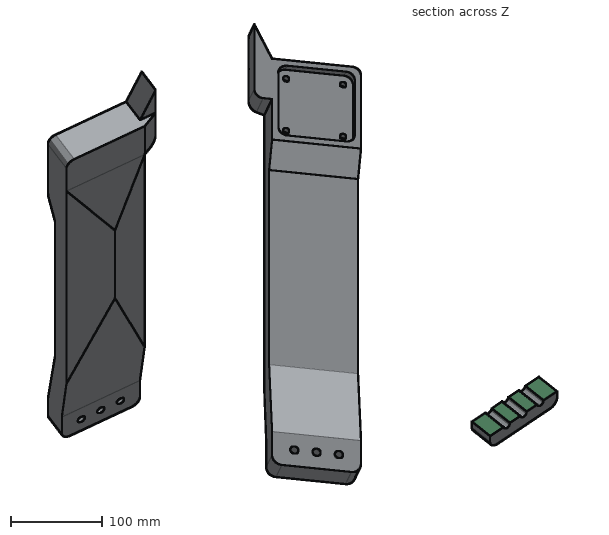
import cadquery as cq
import math

SLAB_WIDTH = 100.0
SLAB_TOP = 500.0
SLAB_BACK = 40.0
FOOT_THICKNESS = 30.0
FOOT_HEIGHT = 40.0
WAIST_FRONT = 15.0
WAIST_BOTTOM = 130.0
WAIST_TOP = 370.0
HEAD_BOTTOM = 400.0
FOOT_RADIUS = 11.0
HEAD_RADIUS = 10.0

RIDGE_BACK = 60.0
RIDGE_Y = SLAB_WIDTH / 2
RIDGE_BOTTOM = 250.0
RIDGE_TAPER_TOP = 450.0

HOOK_REACH = 20.0
HOOK_Y = SLAB_WIDTH + HOOK_REACH
HOOK_TOP = 540.0
HOOK_BOTTOM = 450.0
HOOK_RADIUS = 10.0
HOOK_THICKNESS = 30.0

POCKET_SIZE = 86.0
POCKET_Z = SLAB_TOP - SLAB_WIDTH / 2
POCKET_RADIUS = 10.0
POCKET_DEPTH = 10.0
SCREW_SPACING = 64.0
SCREW_DIAMETER = 6.8
SCREW_DEPTH = 10.0
DRILL_TIP_ANGLE = 118.0

FOOT_HOLE_SPACING = 25.0
FOOT_HOLE_DIAMETER = 9.0
FOOT_HOLE_Z = FOOT_HEIGHT / 2


def side_profile():
    """Bent thickness profile in XZ, extruded across the slab and hook."""
    points = [
        (0, 0),
        (FOOT_THICKNESS, 0),
        (FOOT_THICKNESS, FOOT_HEIGHT),
        (RIDGE_BACK, RIDGE_BOTTOM),
        (RIDGE_BACK, WAIST_TOP),
        (SLAB_BACK, RIDGE_TAPER_TOP),
        (SLAB_BACK, SLAB_TOP),
        (HOOK_THICKNESS, SLAB_TOP),
        (HOOK_THICKNESS, HOOK_TOP),
        (0, HOOK_TOP),
        (0, HEAD_BOTTOM),
        (WAIST_FRONT, WAIST_TOP),
        (WAIST_FRONT, WAIST_BOTTOM),
        (0, FOOT_HEIGHT),
    ]
    return cq.Workplane("XZ").polyline(points).close().extrude(-HOOK_Y)


def plan_profile():
    """Cross-section in XY with ridged back and tapered hook, extruded up the full height."""
    points = [
        (0, 0),
        (SLAB_BACK, 0),
        (RIDGE_BACK, RIDGE_Y),
        (SLAB_BACK, SLAB_WIDTH),
        (HOOK_THICKNESS, HOOK_Y),
        (0, HOOK_Y),
    ]
    return cq.Workplane("XY").polyline(points).close().extrude(HOOK_TOP)


def face_profile():
    """Front outline in YZ with the hook and rounded corners."""
    points = [
        (0, 0),
        (SLAB_WIDTH, 0),
        (SLAB_WIDTH, HOOK_BOTTOM),
        (HOOK_Y, HOOK_BOTTOM),
        (HOOK_Y, HOOK_TOP),
        (SLAB_WIDTH, SLAB_TOP),
        (0, SLAB_TOP),
    ]
    outline = cq.Workplane("YZ").polyline(points).close().extrude(RIDGE_BACK)
    outline = round_corner(outline, 0, 0, FOOT_RADIUS)
    outline = round_corner(outline, SLAB_WIDTH, 0, FOOT_RADIUS)
    outline = round_corner(outline, 0, SLAB_TOP, HEAD_RADIUS)
    return round_corner(outline, HOOK_Y, HOOK_BOTTOM, HOOK_RADIUS)


def round_corner(body, y, z, radius):
    """Fillet the X-direction edge nearest to the corner (y, z)."""
    corner = cq.selectors.NearestToPointSelector((RIDGE_BACK / 2, y, z))
    return body.edges("|X").edges(corner).fillet(radius)


def pocket():
    """Rounded square recess sunk from the front of the head."""
    return (
        cq.Workplane("YZ")
        .center(SLAB_WIDTH / 2, POCKET_Z)
        .rect(POCKET_SIZE, POCKET_SIZE)
        .extrude(POCKET_DEPTH)
        .edges("|X")
        .fillet(POCKET_RADIUS)
    )


def screw_holes():
    """Four blind drilled holes with conical tips in the pocket floor."""
    radius = SCREW_DIAMETER / 2
    tip_depth = radius / math.tan(math.radians(DRILL_TIP_ANGLE / 2))
    half_section = [
        (0, 0),
        (radius, 0),
        (radius, SCREW_DEPTH),
        (0, SCREW_DEPTH + tip_depth),
    ]
    hole = cq.Workplane("XZ").polyline(half_section).close().revolve(360, (0, 0), (0, 1))
    return (
        cq.Workplane("YZ", origin=(POCKET_DEPTH, SLAB_WIDTH / 2, POCKET_Z))
        .rarray(SCREW_SPACING, SCREW_SPACING, 2, 2)
        .eachpoint(hole.val(), useLocalCoordinates=True)
    )


def foot_holes():
    """Row of three holes through the foot."""
    return (
        cq.Workplane("YZ")
        .center(SLAB_WIDTH / 2, FOOT_HOLE_Z)
        .rarray(FOOT_HOLE_SPACING, 1, 3, 1)
        .circle(FOOT_HOLE_DIAMETER / 2)
        .extrude(FOOT_THICKNESS)
    )


body = side_profile().intersect(plan_profile()).intersect(face_profile())
result = body.cut(pocket()).cut(screw_holes()).cut(foot_holes())